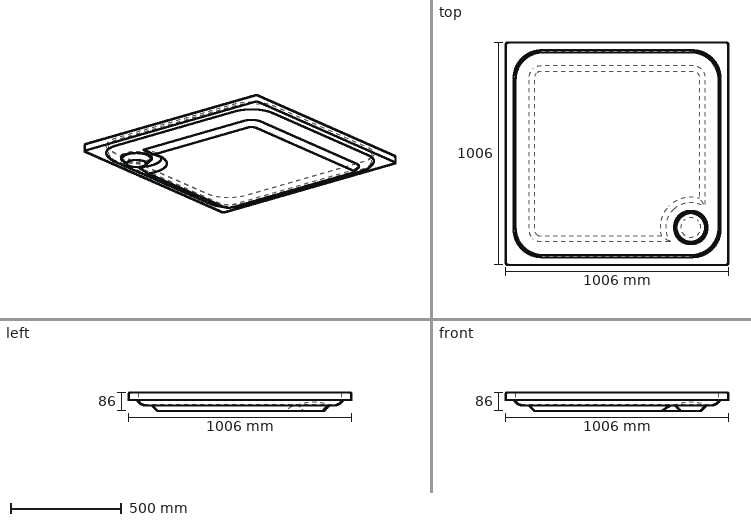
import cadquery as cq
import math


side = 1006.0
height = 86.0

rim_height = 35.0
rim_corner_radius = 12.0
rim_edge_radius = 10.0

mouth_margin = 35.0
mouth_corner_radius = 130.0
lip_width = 10.0
lip_depth = 4.0
basin_depth = 55.0
basin_floor_radius = 30.0

mouth_half_side = side / 2 - mouth_margin
floor_z = height - basin_depth

underside_margin = 31.0
underside_corner_radius = 128.0
underside_edge_radius = 50.0
floor_thickness = 5.0

underside_half_side = side / 2 - underside_margin
underside_z = floor_z - floor_thickness

flank_angle = 45.0
flank_run = underside_z * math.tan(math.radians(flank_angle))
foot_margin = 131.0
foot_corner_radius = 28.0
foot_notch_radius = 138.0

drain_offset = 333.0
drain_x = drain_offset
drain_y = -drain_offset
cup_bottom_diameter = 90.0
recess_mouth_diameter = 151.0
seat_diameter = 135.0
recess_depth = 5.0
seat_z = floor_z - recess_depth

cover_diameter = 130.0
cover_edge_height = 6.0
cover_dome_rise = 10.0


def rounded_square(half_side, corner_radius, z):
    """Rounded square sketch, centred on the Z axis at height z."""
    sketch = cq.Sketch().rect(2 * half_side, 2 * half_side).vertices().fillet(corner_radius)
    return cq.Workplane("XY").workplane(offset=z).placeSketch(sketch)


def drain_cone(bottom_radius, top_radius, bottom_z, top_z):
    """Upright cone frustum on the drain axis."""
    cone = cq.Solid.makeCone(
        bottom_radius, top_radius, top_z - bottom_z, cq.Vector(drain_x, drain_y, bottom_z)
    )
    return cq.Workplane(cone)


def make_bowl(half_side, corner_radius, bottom_z, bottom_edge_radius):
    """Solid bowl from the rim top down to bottom_z, with a rounded bottom edge."""
    return (
        rounded_square(half_side, corner_radius, height)
        .extrude(bottom_z - height)
        .faces("<Z")
        .edges()
        .fillet(bottom_edge_radius)
    )


def make_rim():
    return (
        cq.Workplane("XY")
        .workplane(offset=height - rim_height)
        .rect(side, side)
        .extrude(rim_height)
        .edges("|Z")
        .fillet(rim_corner_radius)
        .faces(">Z")
        .edges()
        .fillet(rim_edge_radius)
    )


def make_basin_cavity():
    """Space inside the basin, wider at the lip."""
    lip_slope = math.degrees(math.atan2(lip_width, lip_depth))
    lip = rounded_square(mouth_half_side, mouth_corner_radius, height).extrude(-lip_depth, taper=lip_slope)
    walls = make_bowl(
        mouth_half_side - lip_width, mouth_corner_radius - lip_width, floor_z, basin_floor_radius
    )
    return walls.union(lip)


def make_basin_underside():
    return make_bowl(underside_half_side, underside_corner_radius, underside_z, underside_edge_radius)


def make_foot():
    """Rounded square foot, narrower at the bottom, with a conical notch around the drain cup."""
    top_half_side = side / 2 - foot_margin + flank_run
    top_corner_radius = foot_corner_radius + flank_run
    foot = rounded_square(top_half_side, top_corner_radius, underside_z).extrude(
        -underside_z, taper=flank_angle
    )
    notch = drain_cone(foot_notch_radius, foot_notch_radius - flank_run, 0, underside_z)
    return foot.cut(notch)


def make_drain_cup():
    cup_bottom_radius = cup_bottom_diameter / 2
    return drain_cone(cup_bottom_radius, cup_bottom_radius + flank_run, 0, underside_z)


def make_drain_recess():
    """Shallow funnel in the basin floor that narrows to the seat of the cover."""
    return drain_cone(seat_diameter / 2, recess_mouth_diameter / 2, seat_z, floor_z)


def make_tray():
    return (
        make_rim()
        .union(make_basin_underside())
        .cut(make_basin_cavity())
        .union(make_foot())
        .union(make_drain_cup())
        .cut(make_drain_recess())
    )


def make_drain_cover():
    """Disc with a domed top, turned about the drain axis."""
    radius = cover_diameter / 2
    dome_radius = (radius**2 + cover_dome_rise**2) / (2 * cover_dome_rise)
    half_angle = math.asin(radius / dome_radius) / 2
    apex_z = cover_edge_height + cover_dome_rise
    dome_middle = (
        dome_radius * math.sin(half_angle),
        apex_z - dome_radius * (1 - math.cos(half_angle)),
    )
    return (
        cq.Workplane("XZ", origin=(drain_x, drain_y, seat_z))
        .lineTo(radius, 0)
        .lineTo(radius, cover_edge_height)
        .threePointArc(dome_middle, (0, apex_z))
        .close()
        .revolve(360, (0, 0), (0, 1))
    )


tray = make_tray()
drain_cover = make_drain_cover()

result = cq.Compound.makeCompound([tray.val(), drain_cover.val()])